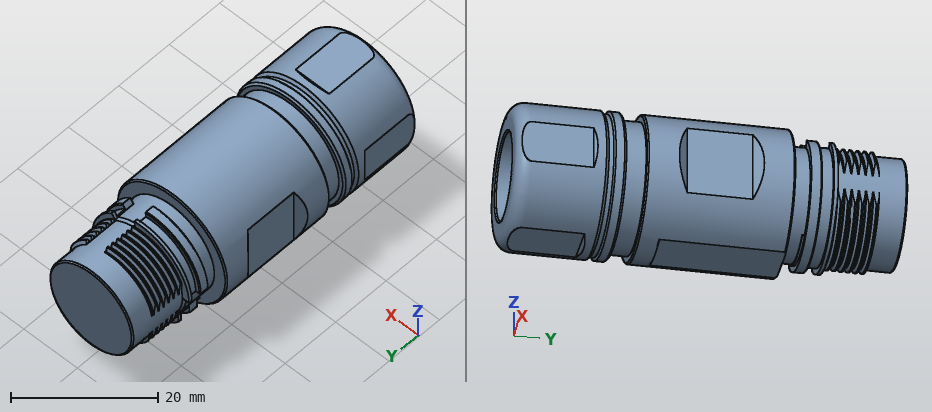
import cadquery as cq
import math

LENGTH = 54.55
TIP = -LENGTH / 2
END = LENGTH / 2

OUTER_RADIUS = 10.25
EDGE_CHAMFER = 0.2

NOSE_RADIUS = 7.8
THREAD_START = -23.35
FLANGE_START = -17.4
FLANGE_END = -16.85
COLLAR_RADIUS = 8.25
RING_START = -15.2
RING_END = -13.7
PAD_END = -13.35
RING_RADIUS = 9.05
RING_CHAMFER = 0.15
NECK_RADIUS = 8.0
UPPER_GAP = (53.0, 82.5)
SIDE_GAP = (180.0, 208.0)
LEAD_IN_END_ANGLE = 225.0
LEAD_IN_DISTANCE = 7.05
PAD_SPANS = ((UPPER_GAP[1], SIDE_GAP[0]), (SIDE_GAP[1], 300.0))

THREAD_RIDGES = 6
THREAD_PITCH = (FLANGE_START - THREAD_START) / THREAD_RIDGES
THREAD_CREST_RADIUS = 8.35
THREAD_CREST_WIDTH = 0.2
THREAD_BASE_WIDTH = 0.95
THREAD_OVERLAP = 0.05
THREAD_HELIX_START = -23.95
THREAD_TURNS = THREAD_RIDGES + 1
THREAD_GAP = (53.0, 82.0)
THREAD_TRIM_DISTANCE = 7.7
THREAD_TRIM_ANGLES = (0.0, 180.0, 190.0)

SLEEVE_START = -11.3
SLEEVE_END = 9.3
WRENCH_FLAT_START = -5.55
WRENCH_FLAT_END = 3.5
WRENCH_FLAT_DISTANCE = 8.9
LABEL_FLAT_END = 6.35
LABEL_FLAT_DISTANCE = 9.65

WAIST_RADIUS = 9.2
COLLAR_START = 12.1
COLLAR_CHAMFER = 0.35
COLLAR_END = 13.85
GROOVE_RADIUS = 9.8
GROOVE_RAMP_START = 14.5
NUT_START = 14.95
NUT_FILLET = 2.0
NUT_FLAT_START = 16.65
NUT_FLAT_DISTANCE = 9.75
NUT_FLAT_COUNT = 4

ENTRY_RADIUS = 6.15
ENTRY_CHAMFER = 0.2
ENTRY_DEPTH = 2.2
SEAL_RADIUS = 4.8
SEAL_CHAMFER = 0.15
SEAL_DEPTH = 0.55


def ring(inner, outer, start, end):
    """Plain ring about the Z axis."""
    return cq.Workplane("XY").workplane(offset=start).circle(outer).circle(inner).extrude(end - start)


def revolve_profile(points):
    """Solid of revolution from (radius, z) points closed along the axis."""
    outline = [(0, points[0][1])] + points + [(0, points[-1][1])]
    return cq.Workplane("XZ").polyline(outline).close().revolve(360, (0, 0), (0, 1))


def sector(angles, start, end):
    """Wedge about the Z axis that reaches past the largest radius."""
    reach = 2 * OUTER_RADIUS
    corners = [(reach * math.cos(math.radians(a)), reach * math.sin(math.radians(a))) for a in angles]
    wedge = cq.Workplane("XY").workplane(offset=start).polyline([(0, 0)] + corners).close()
    return wedge.extrude(end - start)


def flat_cutter(distance, start, end, angle, start_slope=True, end_slope=True):
    """Block lying beyond a plane; its chosen ends slope outward at 45 degrees."""
    rise = 2 * OUTER_RADIUS - distance
    top_start = start - rise if start_slope else start
    top_end = end + rise if end_slope else end
    outline = [
        (distance, start),
        (distance, end),
        (distance + rise, top_end),
        (distance + rise, top_start),
    ]
    cutter = cq.Workplane("XZ").polyline(outline).close().extrude(2 * OUTER_RADIUS, both=True)
    return cutter.rotate((0, 0, 0), (0, 0, 1), angle)


def make_plug():
    core = revolve_profile([
        (NOSE_RADIUS - EDGE_CHAMFER, TIP),
        (NOSE_RADIUS, TIP + EDGE_CHAMFER),
        (NOSE_RADIUS, FLANGE_START),
        (NECK_RADIUS, FLANGE_END),
        (NECK_RADIUS, SLEEVE_START),
    ])
    locking = revolve_profile([
        (RING_RADIUS, FLANGE_START),
        (RING_RADIUS, FLANGE_END),
        (COLLAR_RADIUS, FLANGE_END),
        (COLLAR_RADIUS, RING_START),
        (RING_RADIUS - RING_CHAMFER, RING_START),
        (RING_RADIUS, RING_START + RING_CHAMFER),
        (RING_RADIUS, RING_END),
    ])
    for gap in (UPPER_GAP, SIDE_GAP):
        locking = locking.cut(sector(gap, FLANGE_START, RING_END))
    lead_in = flat_cutter(LEAD_IN_DISTANCE, FLANGE_START, RING_END, 180, start_slope=False, end_slope=False)
    lead_in_sector = sector((SIDE_GAP[1], LEAD_IN_END_ANGLE), FLANGE_START, RING_END)
    locking = locking.cut(lead_in.intersect(lead_in_sector))
    plug = core.union(locking)
    for span in PAD_SPANS:
        pad = ring(0, COLLAR_RADIUS, RING_END, PAD_END)
        plug = plug.union(pad.intersect(sector(span, RING_END, PAD_END)))
    return plug


def make_thread():
    envelope = ring(0, OUTER_RADIUS, THREAD_START, FLANGE_START)
    envelope = envelope.cut(sector(THREAD_GAP, THREAD_START, FLANGE_START))
    for angle in THREAD_TRIM_ANGLES:
        envelope = envelope.cut(flat_cutter(THREAD_TRIM_DISTANCE, THREAD_START, FLANGE_START, angle))

    base_radius = NOSE_RADIUS - THREAD_OVERLAP
    path = cq.Wire.makeHelix(THREAD_PITCH, THREAD_TURNS * THREAD_PITCH, base_radius)
    tooth = [
        (base_radius, -THREAD_BASE_WIDTH / 2),
        (THREAD_CREST_RADIUS, -THREAD_CREST_WIDTH / 2),
        (THREAD_CREST_RADIUS, THREAD_CREST_WIDTH / 2),
        (base_radius, THREAD_BASE_WIDTH / 2),
    ]
    thread = cq.Workplane("XZ").polyline(tooth).close().sweep(cq.Workplane(path), isFrenet=True)
    thread = thread.translate((0, 0, THREAD_HELIX_START))
    return envelope.intersect(thread, clean=False)


def make_sleeve():
    sleeve = ring(0, OUTER_RADIUS, SLEEVE_START, SLEEVE_END).edges().chamfer(EDGE_CHAMFER)
    for angle in (0, 180):
        sleeve = sleeve.cut(flat_cutter(WRENCH_FLAT_DISTANCE, WRENCH_FLAT_START, WRENCH_FLAT_END, angle))
    label_flat = flat_cutter(
        LABEL_FLAT_DISTANCE, SLEEVE_START, LABEL_FLAT_END, -90, start_slope=False, end_slope=False
    )
    return sleeve.cut(label_flat)


def make_nut():
    nut = revolve_profile([
        (WAIST_RADIUS, SLEEVE_END),
        (WAIST_RADIUS, COLLAR_START),
        (OUTER_RADIUS - COLLAR_CHAMFER, COLLAR_START),
        (OUTER_RADIUS, COLLAR_START + COLLAR_CHAMFER),
        (OUTER_RADIUS, COLLAR_END - EDGE_CHAMFER),
        (GROOVE_RADIUS, COLLAR_END),
        (GROOVE_RADIUS, GROOVE_RAMP_START),
        (OUTER_RADIUS, NUT_START),
        (OUTER_RADIUS, END),
    ])
    nut = nut.faces(">Z").edges().fillet(NUT_FILLET)
    for i in range(NUT_FLAT_COUNT):
        angle = 360 / NUT_FLAT_COUNT * i
        nut = nut.cut(flat_cutter(NUT_FLAT_DISTANCE, NUT_FLAT_START, END, angle))
    floor = END - ENTRY_DEPTH
    entry = revolve_profile([
        (SEAL_RADIUS, floor - SEAL_DEPTH),
        (SEAL_RADIUS, floor - SEAL_CHAMFER),
        (SEAL_RADIUS + SEAL_CHAMFER, floor),
        (ENTRY_RADIUS, floor),
        (ENTRY_RADIUS, END - ENTRY_CHAMFER),
        (ENTRY_RADIUS + ENTRY_CHAMFER, END),
    ])
    return nut.cut(entry)


connector = make_plug().union(make_thread(), clean=False).union(make_sleeve()).union(make_nut())
result = connector.rotate((0, 0, 0), (1, 0, 0), 90)